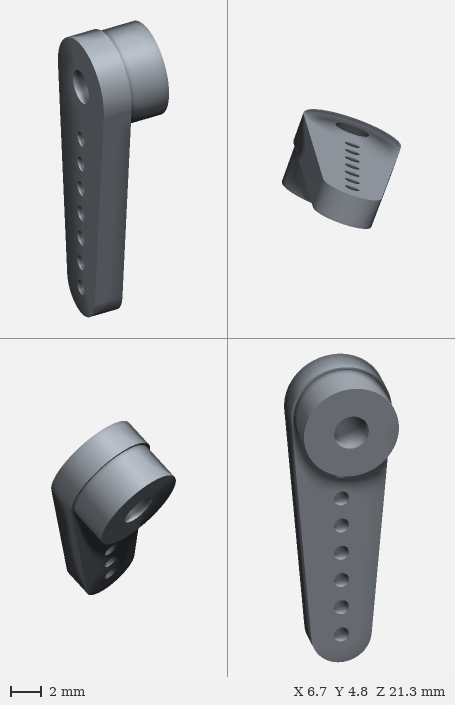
import cadquery as cq
import math

length = 21.3
hub_radius = 3.35
tip_radius = 2.0
arm_thickness = 2.0
end_spacing = length - hub_radius - tip_radius

boss_diameter = 6.3
total_depth = 4.8

bore_diameter = 2.3
link_hole_diameter = 1.0
link_hole_count = 7
first_link_offset = 4.15
link_hole_pitch = (end_spacing - first_link_offset) / (link_hole_count - 1)

BACKWARD = -1


def make_arm():
    taper = math.asin((hub_radius - tip_radius) / end_spacing)
    hub_x = hub_radius * math.cos(taper)
    hub_z = -hub_radius * math.sin(taper)
    tip_x = tip_radius * math.cos(taper)
    tip_z = -end_spacing - tip_radius * math.sin(taper)
    return (
        cq.Workplane("XZ")
        .moveTo(-hub_x, hub_z)
        .threePointArc((0, hub_radius), (hub_x, hub_z))
        .lineTo(tip_x, tip_z)
        .threePointArc((0, -end_spacing - tip_radius), (-tip_x, tip_z))
        .close()
        .extrude(BACKWARD * arm_thickness)
    )


def make_cylinder(diameter, depth, centers):
    return (
        cq.Workplane("XZ")
        .pushPoints(centers)
        .circle(diameter / 2)
        .extrude(BACKWARD * depth)
    )


hub_center = (0, 0)
link_centers = [(0, -end_spacing + i * link_hole_pitch) for i in range(link_hole_count)]

boss = make_cylinder(boss_diameter, total_depth, [hub_center])
bore = make_cylinder(bore_diameter, total_depth, [hub_center])
link_holes = make_cylinder(link_hole_diameter, arm_thickness, link_centers)

result = make_arm().union(boss).cut(bore).cut(link_holes)